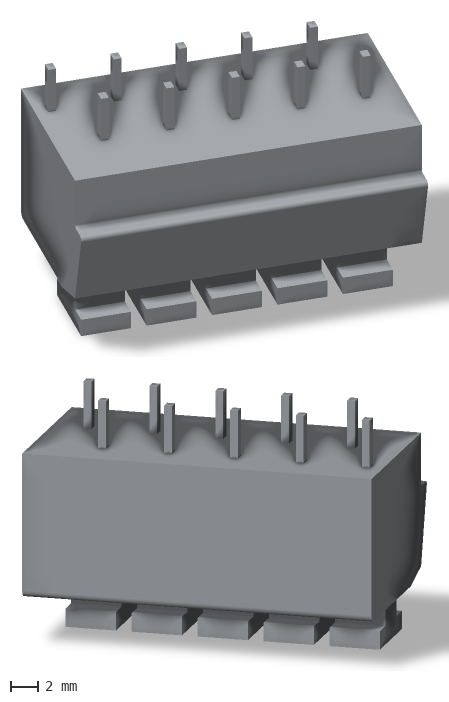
import cadquery as cq
import math

housing_length = 26.5
housing_height = 10.9
housing_depth = 13.45
ledge_drop = 4.0
flank_angle = 15.0
flank_foot_height = 0.8
bevel_run = 2.8
front_bottom_radius = 0.5
ledge_inner_radius = 0.2
lip_tip_radius = 0.3

positions = 5
position_pitch = 5.0
pin_size_x = 0.85
pin_size_y = 0.6
pin_height = 3.6
front_row_x = 3.28
row_spacing = 5.0
row_stagger = position_pitch / 2
rear_row_end_gap = 2.75

button_width = 3.82
button_end_gap = 3.6
stem_height = 2.2
stem_front_x = 7.25
stem_size_x = 3.0
foot_size_x = 6.0
foot_height = 1.4


def position_offsets(end_gap):
    """Y centres of one row, counted from the +Y end of the housing."""
    first = housing_length / 2 - end_gap
    return [first - i * position_pitch for i in range(positions)]


def make_housing():
    ledge_z = housing_height - ledge_drop
    flank_rise = ledge_z - flank_foot_height
    lip_x = housing_depth + flank_rise * math.tan(math.radians(flank_angle))
    block = (
        cq.Workplane("XZ")
        .polyline([
            (0, 0),
            (0, housing_height),
            (housing_depth, housing_height),
            (housing_depth, ledge_z),
            (lip_x, ledge_z),
            (housing_depth, flank_foot_height),
            (housing_depth - bevel_run, 0),
        ])
        .close()
        .extrude(housing_length / 2, both=True)
    )

    def round_edge(body, x, z, radius):
        edge = cq.selectors.NearestToPointSelector((x, 0, z))
        return body.edges(edge).fillet(radius)

    block = round_edge(block, 0, 0, front_bottom_radius)
    block = round_edge(block, housing_depth, ledge_z, ledge_inner_radius)
    return round_edge(block, lip_x, ledge_z, lip_tip_radius)


def make_pins(row_x, end_gap):
    centres = [(row_x, y) for y in position_offsets(end_gap)]
    return (
        cq.Workplane("XY", origin=(0, 0, housing_height))
        .pushPoints(centres)
        .rect(pin_size_x, pin_size_y)
        .extrude(pin_height)
    )


def make_button(centre_y):
    stem_rear_x = stem_front_x + stem_size_x
    foot_overhang = (foot_size_x - stem_size_x) / 2
    foot_front_x = stem_front_x - foot_overhang
    foot_rear_x = stem_rear_x + foot_overhang
    foot_top_z = -stem_height
    foot_bottom_z = foot_top_z - foot_height
    return (
        cq.Workplane("XZ", origin=(0, centre_y, 0))
        .polyline([
            (stem_front_x, 0),
            (stem_front_x, foot_top_z),
            (foot_front_x, foot_top_z),
            (foot_front_x, foot_bottom_z),
            (foot_rear_x, foot_bottom_z),
            (foot_rear_x, foot_top_z),
            (stem_rear_x, foot_top_z),
            (stem_rear_x, 0),
        ])
        .close()
        .extrude(button_width / 2, both=True)
    )


result = make_housing()
result = result.union(make_pins(front_row_x, rear_row_end_gap + row_stagger))
result = result.union(make_pins(front_row_x + row_spacing, rear_row_end_gap))
for button_y in position_offsets(button_end_gap):
    result = result.union(make_button(button_y))